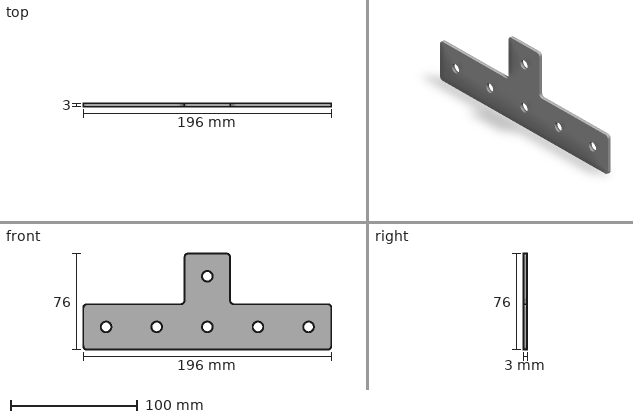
import cadquery as cq

hole_pitch = 40.0
arm_width = 36.0
thickness = 3.0
corner_radius = 3.0
hole_diameter = 8.2
bar_hole_count = 5

bar_length = (bar_hole_count - 1) * hole_pitch + arm_width
stem_height = hole_pitch + arm_width


def upright_plate(length, height):
    """Plate standing on Z = 0, centred on X and Y."""
    return cq.Workplane("XY").box(length, thickness, height, centered=(True, True, False))


def hole_positions():
    """Hole centres as (x, z): a row along the bar and one in the stem."""
    row_height = arm_width / 2
    middle = (bar_hole_count - 1) / 2
    row = [((i - middle) * hole_pitch, row_height) for i in range(bar_hole_count)]
    return row + [(0, row_height + hole_pitch)]


plate = upright_plate(bar_length, arm_width).union(upright_plate(arm_width, stem_height))
plate = plate.edges("|Y").fillet(corner_radius)

holes = (
    cq.Workplane("XZ")
    .pushPoints(hole_positions())
    .circle(hole_diameter / 2)
    .extrude(thickness, both=True)
)

result = plate.cut(holes)